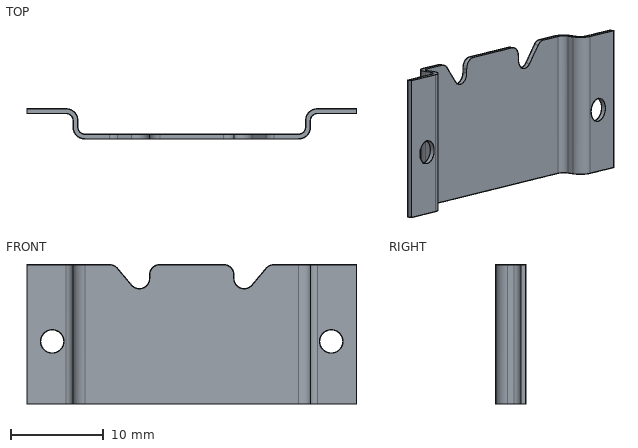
import cadquery as cq
import math

length = 35.5
depth = 3.25
height = 15.0
thickness = 0.55

inner_radius = 0.75
outer_radius = inner_radius + thickness
flange_flat = 4.22

hole_diameter = 2.5
hole_edge_distance = 2.75
hole_height = 6.75

notch_wall_x = 4.55
notch_depth = 2.6
notch_radius = 1.1
notch_slope = math.radians(50)

half_length = length / 2
bend_start_x = half_length - flange_flat
web_outer_x = bend_start_x - inner_radius
web_inner_x = web_outer_x - thickness
panel_edge_x = web_outer_x - outer_radius
diagonal = math.sqrt(0.5)


def bent_half():
    """Right half of the constant-thickness hat section, from the middle to the flange end."""
    web_front_y = outer_radius
    web_back_y = depth - outer_radius

    lower_center = (panel_edge_x, web_front_y)
    upper_center = (bend_start_x, web_back_y)

    def bend_middle(center, radius, side):
        return (center[0] + side * radius * diagonal, center[1] - side * radius * diagonal)

    return (
        cq.Workplane("XY")
        .moveTo(0, 0)
        .lineTo(panel_edge_x, 0)
        .threePointArc(bend_middle(lower_center, outer_radius, 1), (web_outer_x, web_front_y))
        .lineTo(web_outer_x, web_back_y)
        .threePointArc(bend_middle(upper_center, inner_radius, -1), (bend_start_x, depth - thickness))
        .lineTo(half_length, depth - thickness)
        .lineTo(half_length, depth)
        .lineTo(bend_start_x, depth)
        .threePointArc(bend_middle(upper_center, outer_radius, -1), (web_inner_x, web_back_y))
        .lineTo(web_inner_x, web_front_y)
        .threePointArc(bend_middle(lower_center, inner_radius, 1), (panel_edge_x, thickness))
        .lineTo(0, thickness)
        .close()
        .extrude(height)
    )


def flange_hole():
    return (
        cq.Workplane("XZ", origin=(half_length - hole_edge_distance, depth, hole_height))
        .circle(hole_diameter / 2)
        .extrude(thickness)
    )


def notch():
    """Notch with an upright inner wall, round floor, sloping outer wall and rounded lips."""
    r = notch_radius
    sine = math.sin(notch_slope)
    cosine = math.cos(notch_slope)
    lip_z = height - r
    floor_x = notch_wall_x + r
    floor_z = height - notch_depth + r

    slope_low_x = floor_x + r * sine
    slope_low_z = floor_z - r * cosine
    slope_high_z = lip_z + r * cosine
    slope_high_x = slope_low_x + (slope_high_z - slope_low_z) / math.tan(notch_slope)
    lip_x = slope_high_x + r * sine
    half_slope = notch_slope / 2
    lip_middle = (lip_x - r * math.sin(half_slope), lip_z + r * math.cos(half_slope))

    return (
        cq.Workplane("XZ")
        .moveTo(notch_wall_x - r, height)
        .threePointArc(
            (notch_wall_x - r + r * diagonal, lip_z + r * diagonal),
            (notch_wall_x, lip_z),
        )
        .lineTo(notch_wall_x, floor_z)
        .threePointArc((floor_x, floor_z - r), (slope_low_x, slope_low_z))
        .lineTo(slope_high_x, slope_high_z)
        .threePointArc(lip_middle, (lip_x, height))
        .close()
        .extrude(-thickness)
    )


right_half = bent_half().cut(flange_hole()).cut(notch())
result = right_half.union(right_half.mirror("YZ")).clean()